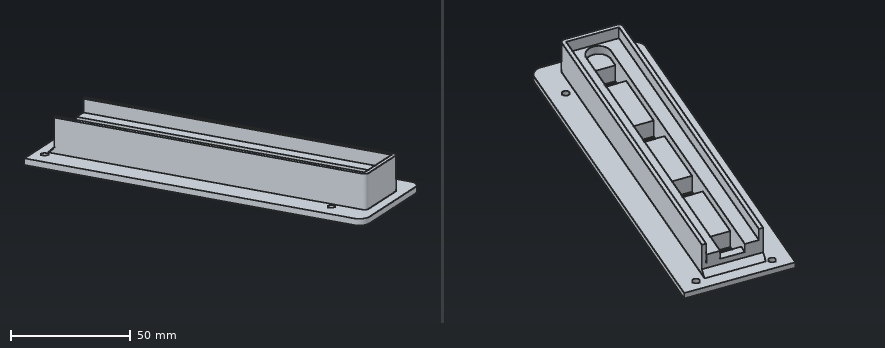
import cadquery as cq

plate_length = 161.6
plate_width = 51.0
plate_thickness = 3.0
plate_corner_radius = 5.0

tray_start = 8.4
tray_end = 156.8
tray_width = 28.1
tray_centre = -0.3
tray_top = 19.0
tray_corner_radius = 2.0
wall_thickness = 2.0
ledge_height = 13.1
foot_length = 2.9
foot_height = 2.7

channel_width = 11.3
channel_end = 154.0
channel_floor = 8.7
window_length = channel_width
window_start = 12.3
window_pitch = 40.1
window_count = 4

gap_width = 0.4
gap_end = 150.3

hole_diameter = 3.2
hole_left = 5.3
hole_right = 141.5
hole_offset = 17.5
hole_centre = 0.3

inner_width = tray_width - 2 * wall_thickness


def box(x_start, x_end, y_start, y_end, z_start, z_end):
    """Box spanning the given limits."""
    size = (x_end - x_start, y_end - y_start, z_end - z_start)
    return cq.Workplane("XY").box(*size, centered=False).translate((x_start, y_start, z_start))


def centred_box(x_start, x_end, width, z_start, z_end, centre=tray_centre):
    """Box symmetric about the given Y, by default the tray centre line."""
    return box(x_start, x_end, centre - width / 2, centre + width / 2, z_start, z_end)


def make_plate():
    plate = centred_box(0, plate_length, plate_width, 0, plate_thickness, centre=0)
    return plate.edges("|Z and >X").fillet(plate_corner_radius)


def make_tray():
    tray = centred_box(tray_start, tray_end, tray_width, 0, tray_top)
    tray = tray.edges("|Z and >X").fillet(tray_corner_radius)
    recess = centred_box(
        tray_start, tray_end - wall_thickness, inner_width, ledge_height, tray_top
    )
    return tray.cut(recess)


def make_foot():
    """Sloped foot across the open end of the tray."""
    return (
        cq.Workplane("XZ", origin=(0, tray_centre + tray_width / 2, 0))
        .moveTo(tray_start - foot_length, plate_thickness)
        .lineTo(tray_start, plate_thickness)
        .lineTo(tray_start, plate_thickness + foot_height)
        .close()
        .extrude(tray_width)
    )


def make_channel():
    arc_centre = channel_end - channel_width / 2
    round_end = (
        cq.Workplane("XY", origin=(arc_centre, tray_centre, channel_floor))
        .circle(channel_width / 2)
        .extrude(tray_top - channel_floor)
    )
    straight = centred_box(
        tray_start, arc_centre, channel_width, channel_floor, tray_top
    )
    return straight.union(round_end)


def make_gap():
    wall_face = tray_centre + inner_width / 2
    return box(tray_start, gap_end, wall_face - gap_width, wall_face, channel_floor, tray_top)


def make_holes():
    hole_rows = (hole_centre - hole_offset, hole_centre + hole_offset)
    positions = [(x, y) for x in (hole_left, hole_right) for y in hole_rows]
    return (
        cq.Workplane("XY")
        .pushPoints(positions)
        .circle(hole_diameter / 2)
        .extrude(plate_thickness)
    )


result = make_plate().union(make_tray()).union(make_foot())
result = result.cut(make_channel()).cut(make_gap()).cut(make_holes())

for index in range(window_count):
    start = window_start + index * window_pitch
    result = result.cut(centred_box(start, start + window_length, channel_width, 0, tray_top))